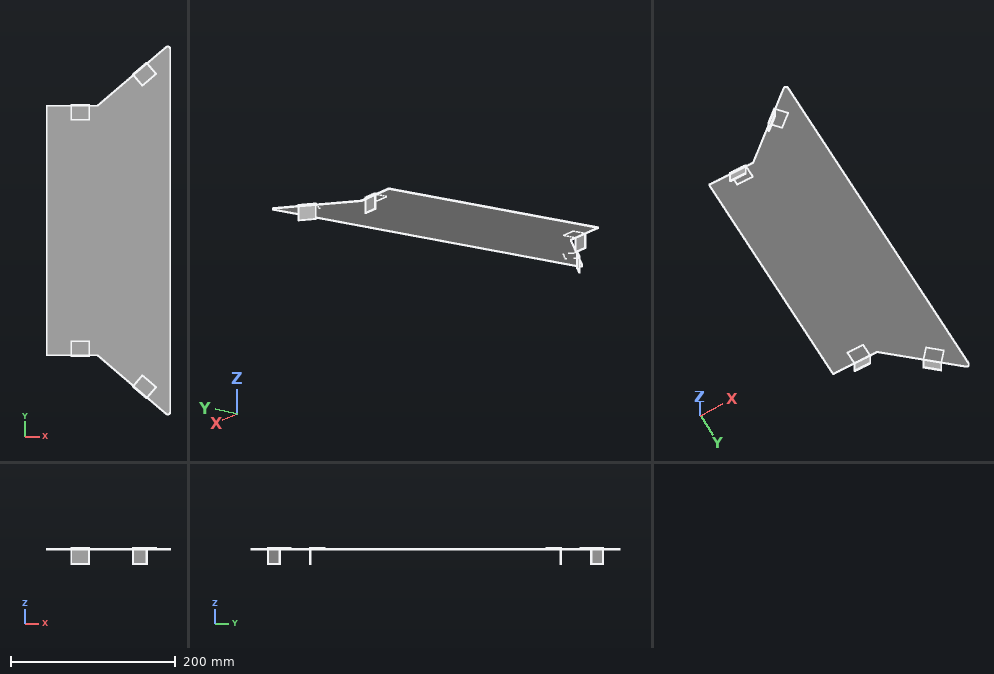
import cadquery as cq
import math

PLATE_LENGTH = 447.0
PLATE_WIDTH = 150.0
PLATE_THICKNESS = 1.0
NARROW_HALF_LENGTH = 151.5
WING_ANGLE = 40.5
TIP_RADIUS = 3.0

CLIP_WIDTH = 22.0
CLIP_FLANGE = 18.0
CLIP_HEIGHT = 19.5
CLIP_THICKNESS = 1.0
END_CLIP_X = -34.5
WING_CLIP_X = 38.5

right_x = PLATE_WIDTH / 2
left_x = -right_x
wing_slope = math.tan(math.radians(WING_ANGLE))

tip_center_y = PLATE_LENGTH / 2 - TIP_RADIUS
tip_corner_y = tip_center_y + TIP_RADIUS * (wing_slope + 1 / math.cos(math.radians(WING_ANGLE)))
wing_root_x = right_x - (tip_corner_y - NARROW_HALF_LENGTH) / wing_slope


def wing_edge_y(x):
    """Y of the upper wing edge at a given X."""
    return tip_corner_y - (right_x - x) * wing_slope


def make_plate():
    outline = [
        (left_x, -NARROW_HALF_LENGTH),
        (wing_root_x, -NARROW_HALF_LENGTH),
        (right_x, -tip_corner_y),
        (right_x, tip_corner_y),
        (wing_root_x, NARROW_HALF_LENGTH),
        (left_x, NARROW_HALF_LENGTH),
    ]
    plate = cq.Workplane("XY").polyline(outline).close().extrude(PLATE_THICKNESS)
    return plate.edges("|Z and >X").fillet(TIP_RADIUS)


def make_clip(x, y, angle):
    """Clip whose leg touches the plate edge at (x, y); its outward side is +Y turned by angle."""
    top_z = PLATE_THICKNESS + CLIP_THICKNESS
    inner_y = CLIP_THICKNESS - CLIP_FLANGE
    profile = [
        (inner_y, PLATE_THICKNESS),
        (0, PLATE_THICKNESS),
        (0, top_z - CLIP_HEIGHT),
        (CLIP_THICKNESS, top_z - CLIP_HEIGHT),
        (CLIP_THICKNESS, top_z),
        (inner_y, top_z),
    ]
    clip = cq.Workplane("YZ").polyline(profile).close().extrude(CLIP_WIDTH / 2, both=True)
    return clip.rotate((0, 0, 0), (0, 0, 1), angle).translate((x, y, 0))


plate = make_plate()

clip_places = [
    (END_CLIP_X, NARROW_HALF_LENGTH, 0),
    (WING_CLIP_X, wing_edge_y(WING_CLIP_X), WING_ANGLE),
]
clips = []
for x, y, angle in clip_places:
    clips.append(make_clip(x, y, angle))
    clips.append(make_clip(x, -y, 180 - angle))

result = cq.Compound.makeCompound([plate.val(), *[clip.val() for clip in clips]])